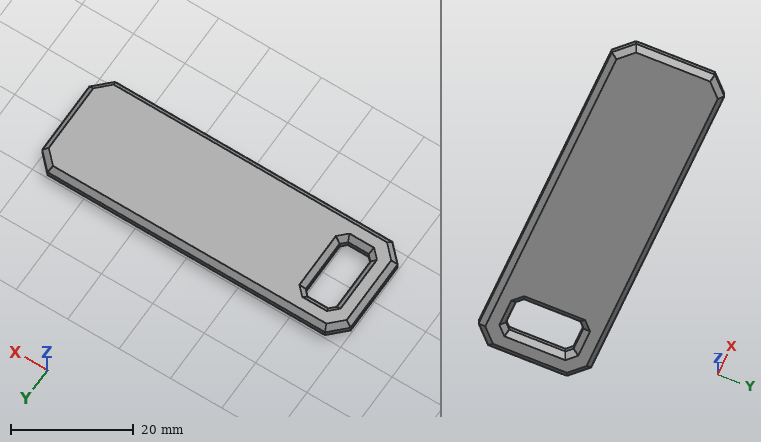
import cadquery as cq

plate_length = 60.0
plate_width = 20.0
plate_thickness = 3.0
plate_corner_cut = 3.0

slot_size_x = 6.0
slot_size_y = 12.0
slot_corner_cut = 1.0
slot_end_margin = 4.0
slot_center_x = -plate_length / 2 + slot_end_margin + slot_size_x / 2

rim_chamfer = 1.0


def cut_corner_block(size_x, size_y, corner_cut):
    """Block as thick as the plate, with its four vertical edges cut at 45 degrees."""
    block = cq.Workplane("XY").box(size_x, size_y, plate_thickness, centered=(True, True, False))
    return block.edges("|Z").chamfer(corner_cut)


def make_plate():
    """Elongated octagonal plate without the slot."""
    return cut_corner_block(plate_length, plate_width, plate_corner_cut)


def make_slot_cutter():
    """Octagonal block that removes the keyring slot."""
    cutter = cut_corner_block(slot_size_x, slot_size_y, slot_corner_cut)
    return cutter.translate((slot_center_x, 0, 0))


def bevel_rims(body):
    """Bevel the outer rim and the slot rim on the top and bottom faces."""
    return body.faces("<Z or >Z").edges().chamfer(rim_chamfer)


result = bevel_rims(make_plate().cut(make_slot_cutter()))